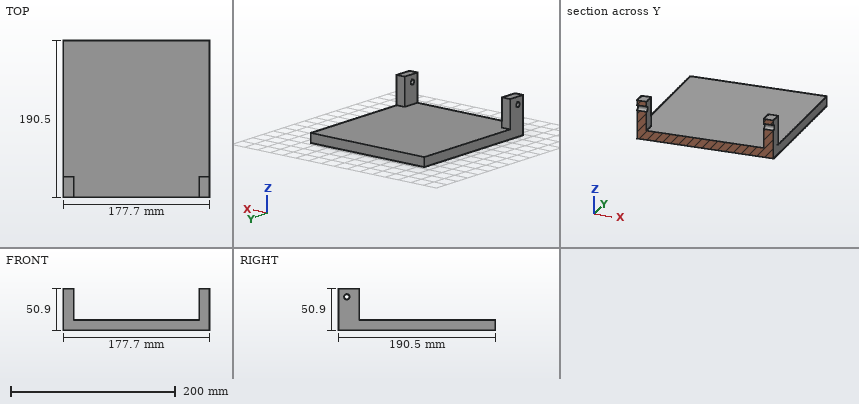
import cadquery as cq

width = 177.7
length = 190.5
height = 50.9

thickness = 12.8
lug_length = 25.3

hole_diameter = 6.3
hole_edge_distance = 10.1


def make_plate():
    return cq.Workplane("XY").box(width, length, thickness, centered=(True, False, False))


def make_lug(x_start):
    return (
        cq.Workplane("XY")
        .box(thickness, lug_length, height, centered=False)
        .translate((x_start, 0, 0))
    )


def make_cross_hole():
    return (
        cq.Workplane("YZ")
        .center(hole_edge_distance, height - hole_edge_distance)
        .circle(hole_diameter / 2)
        .extrude(width / 2, both=True)
    )


result = make_plate()
for lug_start in (-width / 2, width / 2 - thickness):
    result = result.union(make_lug(lug_start))
result = result.cut(make_cross_hole())